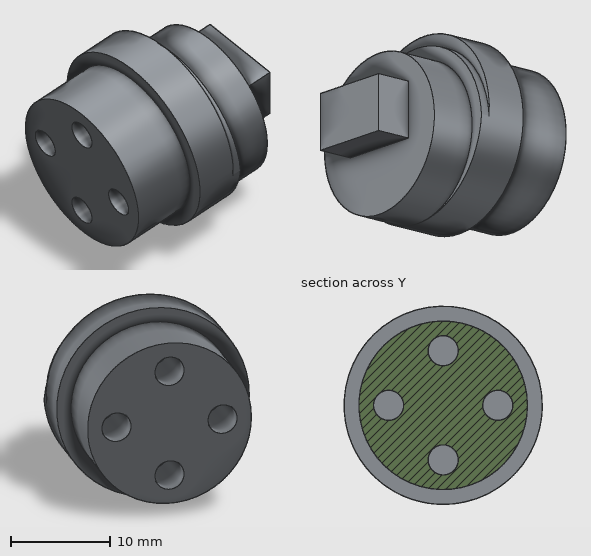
import cadquery as cq

total_length = 21.5
flange_diameter = 20.0
body_diameter = 17.0
front_length = 7.0
flange_length = 5.5
step_length = 1.0
boss_length = 5.0
boss_drop = (flange_diameter - body_diameter) / 2
key_width = 9.0
key_height = 6.0
hole_diameter = 3.0
hole_circle_radius = 5.5
hole_count = 4
hole_depth = front_length

front_y = -total_length / 2
flange_y = front_y + front_length
step_y = flange_y + flange_length - step_length
boss_y = flange_y + flange_length
key_y = boss_y + boss_length
key_length = total_length / 2 - key_y


def section_plane(y):
    """Plane across the axis at y, extruding toward +Y; local y points to -Z."""
    return cq.Workplane(cq.Plane(origin=(0, y, 0), xDir=(1, 0, 0), normal=(0, 1, 0)))


def cylinder(y, length, diameter, drop=0):
    """Round section starting at y, with its axis lowered by drop."""
    return section_plane(y).center(0, drop).circle(diameter / 2).extrude(length)


front_body = cylinder(front_y, front_length, body_diameter)
flange = cylinder(flange_y, flange_length - step_length, flange_diameter)

step = cylinder(step_y, step_length, flange_diameter).intersect(
    cylinder(step_y, step_length, flange_diameter, boss_drop)
)

boss = cylinder(boss_y, boss_length, body_diameter, boss_drop)
key = section_plane(key_y).rect(key_width, key_height).extrude(key_length)

pin_holes = (
    section_plane(front_y)
    .polarArray(hole_circle_radius, 0, 360, hole_count)
    .circle(hole_diameter / 2)
    .extrude(hole_depth)
)

result = front_body.union(flange).union(step).union(boss).union(key).cut(pin_holes)